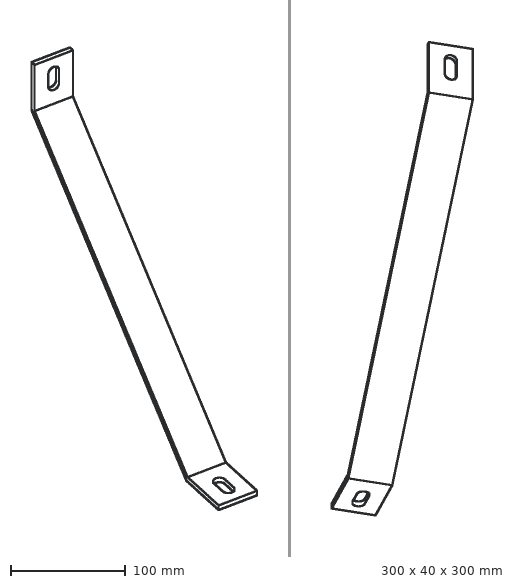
import cadquery as cq
import math

span = 300.0
width = 40.0
thickness = 5.0
flange_length = 52.0
slot_length = 25.0
slot_width = 11.0
slot_to_end = 22.5

bend_angle = 45.0
miter_offset = thickness * math.tan(math.radians(bend_angle / 2))
inner_length = flange_length - miter_offset


def bent_strip():
    """Upright flange, sloping brace and flat flange as one constant-thickness strip."""
    outline = [
        (0, span),
        (0, span - flange_length),
        (span - flange_length, 0),
        (span, 0),
        (span, thickness),
        (span - inner_length, thickness),
        (thickness, span - inner_length),
        (thickness, span),
    ]
    return cq.Workplane("XZ").polyline(outline).close().extrude(width / 2, both=True)


def slot_cutter(plane, center, angle):
    """Slot running through the flange that lies against the given plane."""
    return (
        cq.Workplane(plane)
        .center(*center)
        .slot2D(slot_length, slot_width, angle)
        .extrude(thickness)
    )


upright_slot = slot_cutter("YZ", (0, span - slot_to_end), 90)
flat_slot = slot_cutter("XY", (span - slot_to_end, 0), 0)

result = bent_strip().cut(upright_slot).cut(flat_slot)